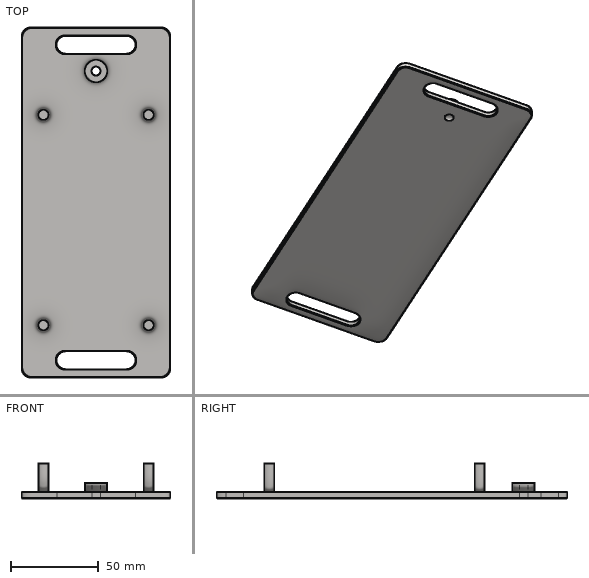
import cadquery as cq

plate_width = 85.0
plate_length = 200.0
plate_thickness = 4.0
corner_radius = 5.5
edge_chamfer = 0.5

slot_length = 45.0
slot_width = 10.0
slot_end_distance = 10.0

pin_diameter = 5.8
pin_height = 16.0
pin_spacing_x = 60.0
pin_spacing_y = 120.0
pin_end_distance = 50.0

boss_diameter = 12.8
boss_bore = 5.0
boss_height = 5.0
boss_end_distance = 25.0

half_length = plate_length / 2
slot_y = half_length - slot_end_distance
boss_y = half_length - boss_end_distance
pin_center_y = half_length - pin_end_distance - pin_spacing_y / 2


def make_plate():
    """Rounded plate with two handle slots, chamfered on every top and bottom edge."""
    plate = (
        cq.Workplane("XY")
        .rect(plate_width, plate_length)
        .extrude(plate_thickness)
        .edges("|Z")
        .fillet(corner_radius)
    )
    slots = (
        cq.Workplane("XY")
        .pushPoints([(0, slot_y), (0, -slot_y)])
        .slot2D(slot_length, slot_width)
        .extrude(plate_thickness)
    )
    return plate.cut(slots).faces("<Z or >Z").edges().chamfer(edge_chamfer)


def make_pins():
    """Four plain pins on a rectangular pattern."""
    return (
        cq.Workplane("XY")
        .center(0, pin_center_y)
        .rect(pin_spacing_x, pin_spacing_y, forConstruction=True)
        .vertices()
        .circle(pin_diameter / 2)
        .extrude(plate_thickness + pin_height)
    )


def make_boss_cylinder(diameter):
    """Cylinder on the boss axis, from the underside to the boss top."""
    return (
        cq.Workplane("XY")
        .center(0, boss_y)
        .circle(diameter / 2)
        .extrude(plate_thickness + boss_height)
    )


result = (
    make_plate()
    .union(make_pins())
    .union(make_boss_cylinder(boss_diameter))
    .cut(make_boss_cylinder(boss_bore))
    .clean()
)